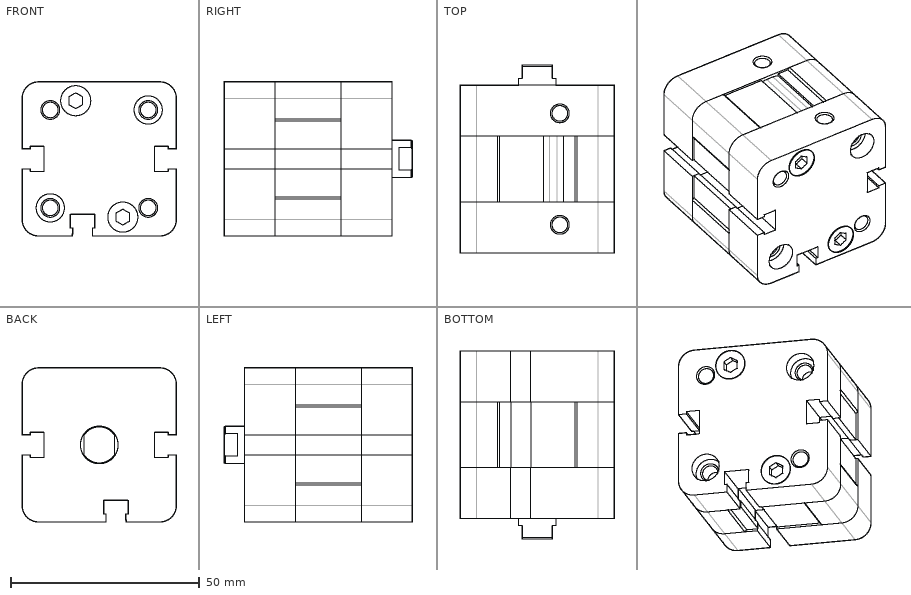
import cadquery as cq
import math


total_length = 50.0
side = 41.0
half_side = side / 2
corner_radius = 4.4
cap_length = 13.55
barrel_length = 17.5
front_cap_start = cap_length + barrel_length
front_face = front_cap_start + cap_length

slot_neck_width = 5.3
slot_head_width = 6.6
slot_neck_depth = 2.2
slot_depth = 5.8
cap_slot_offset = 4.5
barrel_slot_offset = 4.3

panel_depth = 0.55
panel_width = 21.2
panel_slope = 0.55

groove_offset = barrel_slot_offset
groove_width = slot_neck_width
groove_flat_width = 2.0
groove_flat_depth = 0.9
groove_arc_radius = 4.5

thread_diameter = 4.15
thread_mouth_diameter = 5.0
port_x = 6.0
port_inset = 7.5
port_depth = 7.0
mount_offset = 13.0
mount_depth = 10.0
counterbore_diameter = 7.5
counterbore_depth = 4.2

screw_x = 6.25
screw_z = 15.45
screw_diameter = 8.0
screw_recess = 0.3
hex_across_flats = 3.65
hex_depth = 2.5

rod_diameter = 10.0
rod_across_flats = 8.0
rod_flat_length = 3.6
rod_chamfer_length = 0.4
rod_chamfer_width = 0.2


def cross_section(y):
    """Workplane across the stroke axis: local x is X, local y is Z, negative extrusions run to +Y."""
    return cq.Workplane("XZ", origin=(0, y, 0))


def block(y, length):
    """Square block with rounded long edges."""
    return cross_section(y).rect(side, side).extrude(-length).edges("|Y").fillet(corner_radius)


def t_slot(y, length, offset, angle):
    """Cutter for a T-slot of the bottom side, turned about the stroke axis to its own side."""
    neck_top = slot_neck_depth - half_side
    slot_top = slot_depth - half_side
    neck = slot_neck_width / 2
    head = slot_head_width / 2
    outline = [
        (offset - neck, -half_side),
        (offset - neck, neck_top),
        (offset - head, neck_top),
        (offset - head, slot_top),
        (offset + head, slot_top),
        (offset + head, neck_top),
        (offset + neck, neck_top),
        (offset + neck, -half_side),
    ]
    cutter = cross_section(y).polyline(outline).close().extrude(-length)
    return cutter.rotate((0, 0, 0), (0, 1, 0), angle)


def cut_t_slots(body, y, length, bottom_offset):
    """Cut the centred slots of both sides and the off-centre slot of the bottom."""
    for offset, angle in ((bottom_offset, 0), (0, 90), (0, -90)):
        body = body.cut(t_slot(y, length, offset, angle))
    return body


def threaded_hole(origin, direction, depth):
    """Cutter for a flat-bottomed hole whose mouth has a 45 degree chamfer."""
    radius = thread_diameter / 2
    mouth_radius = thread_mouth_diameter / 2
    chamfer = mouth_radius - radius
    start = cq.Vector(*origin)
    axis = cq.Vector(*direction)
    bore = cq.Solid.makeCylinder(radius, depth, start, axis)
    mouth = cq.Solid.makeCone(mouth_radius, radius, chamfer, start, axis)
    return bore.fuse(mouth)


def cap(y, port_y):
    """Cap body with its T-slots and the air port in its top."""
    body = cut_t_slots(block(y, cap_length), y, cap_length, -cap_slot_offset)
    return body.cut(cq.Workplane(threaded_hole((port_x, port_y, half_side), (0, 0, -1), port_depth)))


def cut_mounting_holes(body):
    """Four corner threads; two opposite ones start at the floor of a counterbore."""
    for sign_x in (1, -1):
        for sign_z in (1, -1):
            x = sign_x * mount_offset
            z = sign_z * mount_offset
            thread_start = 0
            if sign_x == sign_z:
                body = body.cut(
                    cross_section(0).center(x, z).circle(counterbore_diameter / 2).extrude(-counterbore_depth)
                )
                thread_start = counterbore_depth
            thread = threaded_hole((x, thread_start, z), (0, 1, 0), mount_depth - thread_start)
            body = body.cut(cq.Workplane(thread))
    return body


def cut_screw_heads(body):
    """Two flat round recesses with hexagon sockets that have corners at top and bottom."""
    hex_diameter = hex_across_flats / math.cos(math.pi / 6)
    for sign in (1, -1):
        centre = cross_section(0).center(-sign * screw_x, sign * screw_z)
        recess = centre.circle(screw_diameter / 2).extrude(-screw_recess)
        socket = (
            centre.transformed(rotate=(0, 0, 90)).polygon(6, hex_diameter).extrude(-screw_recess - hex_depth)
        )
        body = body.cut(recess).cut(socket)
    return body


def make_rear_cap():
    return cut_screw_heads(cut_mounting_holes(cap(0, port_inset)))


def side_panel(angle):
    """Cutter for the sunken panel of the top side, turned about the stroke axis to its own side."""
    half_width = panel_width / 2
    floor_half_width = half_width - panel_slope
    floor = half_side - panel_depth
    outline = [
        (-half_width, half_side),
        (-floor_half_width, floor),
        (floor_half_width, floor),
        (half_width, half_side),
    ]
    cutter = cross_section(cap_length).polyline(outline).close().extrude(-barrel_length)
    return cutter.rotate((0, 0, 0), (0, 1, 0), angle)


def sensor_groove():
    """Cutter for the groove in the top, with tangent arcs on either side of its flat middle."""
    half_width = groove_width / 2
    half_flat = groove_flat_width / 2
    flat_z = half_side - groove_flat_depth
    arc_width = half_width - half_flat
    edge_z = flat_z - groove_arc_radius + math.sqrt(groove_arc_radius**2 - arc_width**2)

    return (
        cross_section(cap_length)
        .center(groove_offset, 0)
        .moveTo(-half_width, half_side)
        .lineTo(-half_width, edge_z)
        .radiusArc((-half_flat, flat_z), groove_arc_radius)
        .lineTo(half_flat, flat_z)
        .radiusArc((half_width, edge_z), groove_arc_radius)
        .lineTo(half_width, half_side)
        .close()
        .extrude(-barrel_length)
    )


def make_barrel():
    body = block(cap_length, barrel_length)
    for angle in (0, 90, 180, 270):
        body = body.cut(side_panel(angle))
    body = cut_t_slots(body, cap_length, barrel_length, -barrel_slot_offset)
    return body.cut(sensor_groove())


def make_front_cap():
    """Cap with a bore through which the rod passes."""
    body = cap(front_cap_start, front_face - port_inset)
    return body.cut(cross_section(front_cap_start).circle(rod_diameter / 2).extrude(-cap_length))


def make_rod():
    """Rod from the barrel through the front cap, with a chamfered end and two wrench flats."""
    length = total_length - front_cap_start
    rod = (
        cross_section(front_cap_start)
        .circle(rod_diameter / 2)
        .extrude(-length)
        .faces(">Y")
        .chamfer(rod_chamfer_length, rod_chamfer_width)
    )
    flat_zone = cross_section(total_length - rod_flat_length).rect(rod_diameter, rod_diameter)
    kept = cross_section(total_length - rod_flat_length).rect(rod_across_flats, rod_diameter)
    return rod.cut(flat_zone.extrude(-rod_flat_length).cut(kept.extrude(-rod_flat_length)))


rear_cap = make_rear_cap()
barrel = make_barrel()
front_cap = make_front_cap()
rod = make_rod()

result = cq.Compound.makeCompound([rear_cap.val(), barrel.val(), front_cap.val(), rod.val()])